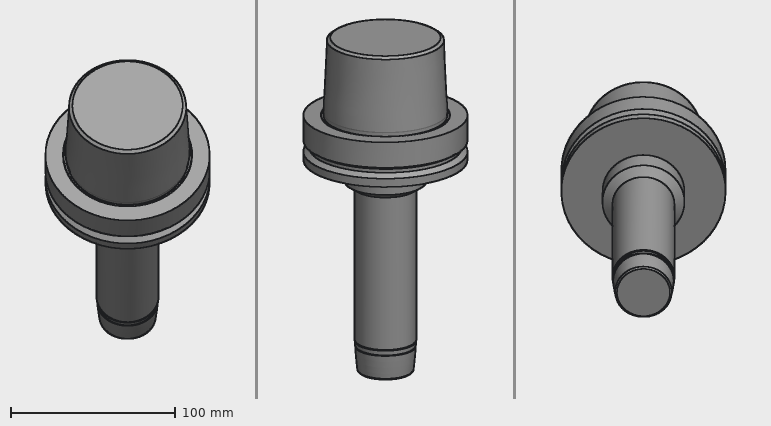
import cadquery as cq

total_height = 215.0
flange_top = 165.0
flange_bottom = 136.2
hub_cone_top = 122.3
hub_cone_bottom = 118.5
nose_top = 20.2

flange_diameter = 100.0
flange_radius = flange_diameter / 2
groove_root_radius = 46.5
groove_upper_edge = 148.7
groove_root_top = 146.5
groove_root_bottom = 144.2
groove_corner_radius = 47.3
groove_corner_height = 143.5
groove_lower_edge = 141.6

taper_base_radius = 37.8
taper_end_radius = 35.7
taper_base = 167.5
taper_end = 213.5
end_face_radius = 33.5
undercut_radius = 37.6
undercut_top = 166.5
relief_radius = 39.3
relief_floor_radius = 39.0
relief_depth = 0.6

hub_radius = 25.0
shank_radius = 19.0
nose_top_radius = 18.7
nose_end_radius = 17.2
end_chamfer = 1.0

nose_facet_heights = (4.3, 8.4, 12.2, 16.3)
nose_curve_power = 1.4

ring_groove_heights = (19.8, 16.3)
ring_groove_width = 0.5
ring_groove_depth = 0.2


def nose_radius(height):
    """Radius of the tapered nose at a given height."""
    fraction = (nose_top - height) / (nose_top - end_chamfer)
    return nose_top_radius - (nose_top_radius - nose_end_radius) * fraction ** nose_curve_power


def revolve_profile(points):
    """Turn (radius, height) points around the Z axis."""
    return cq.Workplane("XZ").polyline(points).close().revolve(360, (0, 0, 0), (0, 1, 0))


def ring_groove(height):
    """Ring that cuts one shallow groove into the nose."""
    bottom = height - ring_groove_width / 2
    outer = cq.Workplane("XY").workplane(offset=bottom).circle(shank_radius)
    return outer.circle(nose_radius(height) - ring_groove_depth).extrude(ring_groove_width)


result = revolve_profile([
    (0, 0),
    (nose_end_radius - end_chamfer, 0),
    (nose_end_radius, end_chamfer),
    *[(nose_radius(height), height) for height in nose_facet_heights],
    (nose_top_radius, nose_top),
    (shank_radius, nose_top),
    (shank_radius, hub_cone_bottom),
    (hub_radius, hub_cone_top),
    (hub_radius, flange_bottom),
    (flange_radius, flange_bottom),
    (flange_radius, groove_lower_edge),
    (groove_corner_radius, groove_corner_height),
    (groove_root_radius, groove_root_bottom),
    (groove_root_radius, groove_root_top),
    (flange_radius, groove_upper_edge),
    (flange_radius, flange_top),
    (relief_radius, flange_top),
    (relief_floor_radius, flange_top - relief_depth),
    (undercut_radius, flange_top - relief_depth),
    (undercut_radius, undercut_top),
    (taper_base_radius, taper_base),
    (taper_end_radius, taper_end),
    (end_face_radius, total_height),
    (0, total_height),
])

for groove_height in ring_groove_heights:
    result = result.cut(ring_groove(groove_height))